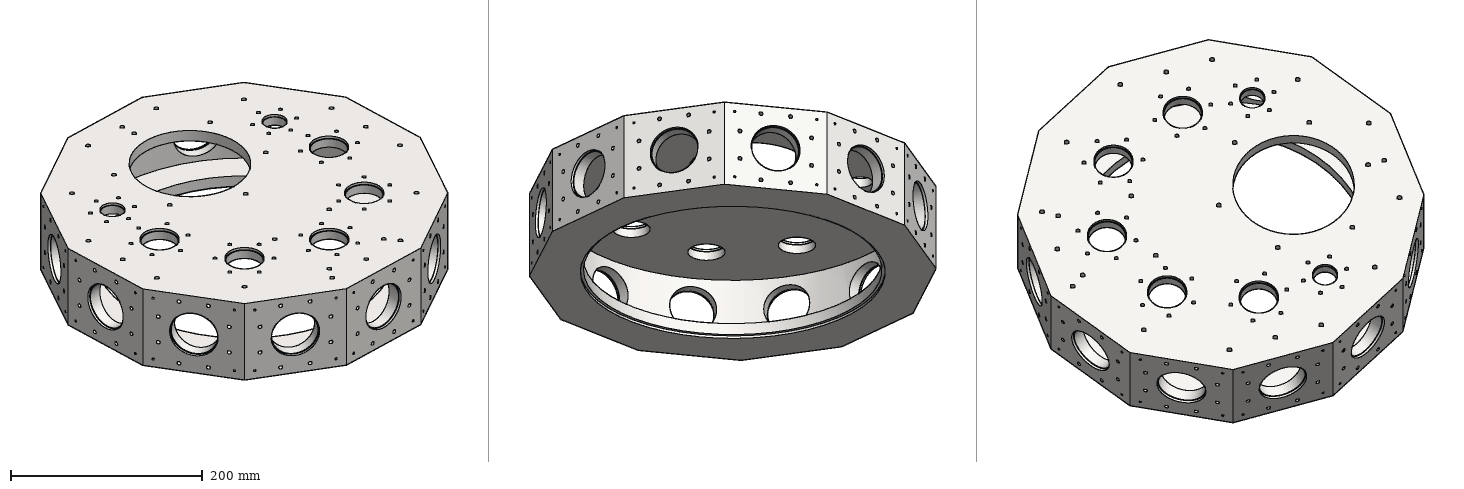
import cadquery as cq
import math

SIDES = 12
ACROSS_FLATS = 410.5
HEIGHT = 95.2
APOTHEM = ACROSS_FLATS / 2
CIRCUMSCRIBED_DIAMETER = ACROSS_FLATS / math.cos(math.pi / SIDES)
CAVITY_DIAMETER = 380.0
TOP_THICKNESS = 13.0
FLOOR_THICKNESS = 15.5
BOTTOM_OPENING_DIAMETER = 311.5
BOTTOM_RECESS_DIAMETER = 318.0

STEP_DEPTH = 3.0

SCREW_DIAMETER = 4.02
LARGE_SCREW_DIAMETER = 5.0
PIN_DIAMETER = 2.25
SCREW_DEPTH = 8.2

SCREWS_PER_RING = 6

WINDOW_DIAMETER = 50.0
WINDOW_STEP_DIAMETER = 52.0
WINDOW_SCREWS = 8
WINDOW_SCREW_RADIUS = 41.5
PIN_OFFSET_ACROSS = 44.0
PIN_OFFSET_UP = 37.8

MAIN_OPENING_DIAMETER = 127.0
MAIN_OPENING_X = -80.0
MAIN_SCREW_RADIUS = 82.0

PORT_DIAMETER = 39.0
PORT_STEP_DIAMETER = 41.0
PORT_RADIUS = 125.2
PORT_ANGLES = (-90, -45, 0, 45, 90)
PORT_SCREW_RADIUS = 30.8
CORNER_SCREW_OFFSET = 40.2

SMALL_PORT_DIAMETER = 25.0
SMALL_PORT_STEP_DIAMETER = 26.3
SMALL_PORT_X = -74.7
SMALL_PORT_Y = 120.0
SMALL_PORT_SCREW_RADIUS = 24.0

EDGE_SCREW_OFFSET = 180.0
EDGE_SCREW_STATIONS = 8
EDGE_SCREW_SPACING = 50.5


def polar(radius, angle, center=(0, 0)):
    """Point at a radius and an angle in degrees about a center."""
    turn = math.radians(angle)
    return (center[0] + radius * math.cos(turn), center[1] + radius * math.sin(turn))


def screw_circle(center, radius, count, first_angle=0):
    """Evenly spaced points around a center."""
    return [polar(radius, first_angle + 360 / count * i, center) for i in range(count)]


def holes(plane, points, diameter, depth):
    """Cylinders sunk from a plane against its normal."""
    return cq.Workplane(plane).pushPoints(points).circle(diameter / 2).extrude(-depth)


def stepped_hole(plane, points, diameter, step_diameter, depth):
    """Hole with a shallow wider step at its mouth."""
    return holes(plane, points, diameter, depth).union(holes(plane, points, step_diameter, STEP_DEPTH))


def body():
    """Dodecagonal shell with flats on X and Y, with a round cavity and an opening in the floor."""
    block = (
        cq.Workplane("XY")
        .polygon(SIDES, CIRCUMSCRIBED_DIAMETER)
        .extrude(HEIGHT)
        .rotate((0, 0, 0), (0, 0, 1), 180 / SIDES)
    )
    cavity = (
        cq.Workplane("XY", origin=(0, 0, FLOOR_THICKNESS))
        .circle(CAVITY_DIAMETER / 2)
        .extrude(HEIGHT - FLOOR_THICKNESS - TOP_THICKNESS)
    )
    opening = cq.Workplane("XY").circle(BOTTOM_OPENING_DIAMETER / 2).extrude(FLOOR_THICKNESS)
    recess = cq.Workplane("XY").circle(BOTTOM_RECESS_DIAMETER / 2).extrude(STEP_DEPTH)
    return block.cut(cavity).cut(opening).cut(recess)


def side_cutters(angle):
    """Window, screw holes and pin holes of the face pointing at an angle."""
    x, y = polar(APOTHEM, angle)
    normal_x, normal_y = polar(1, angle)
    face = cq.Plane(
        origin=(x, y, HEIGHT / 2),
        xDir=(-normal_y, normal_x, 0),
        normal=(normal_x, normal_y, 0),
    )
    reach = APOTHEM - BOTTOM_OPENING_DIAMETER / 2
    screws = screw_circle((0, 0), WINDOW_SCREW_RADIUS, WINDOW_SCREWS, 180 / WINDOW_SCREWS)
    pins = [(i * PIN_OFFSET_ACROSS, j * PIN_OFFSET_UP) for i in (-1, 1) for j in (-1, 1)]
    return (
        stepped_hole(face, [(0, 0)], WINDOW_DIAMETER, WINDOW_STEP_DIAMETER, reach)
        .add(holes(face, screws, SCREW_DIAMETER, SCREW_DEPTH))
        .add(holes(face, pins, PIN_DIAMETER, SCREW_DEPTH))
    )


def top_cutters():
    """Openings and screw holes of the top plate."""
    top = cq.Plane(origin=(0, 0, HEIGHT))
    main_center = (MAIN_OPENING_X, 0)
    ports = [polar(PORT_RADIUS, angle) for angle in PORT_ANGLES]
    small_ports = [(SMALL_PORT_X, side * SMALL_PORT_Y) for side in (-1, 1)]

    port_screws = []
    for angle, center in zip(PORT_ANGLES, ports):
        port_screws += screw_circle(center, PORT_SCREW_RADIUS, SCREWS_PER_RING, angle + 90)
    for center in small_ports:
        port_screws += screw_circle(center, SMALL_PORT_SCREW_RADIUS, SCREWS_PER_RING)

    large_screws = screw_circle(main_center, MAIN_SCREW_RADIUS, SCREWS_PER_RING)
    for i in (-1, 1):
        for j in (-1, 1):
            large_screws.append((PORT_RADIUS + i * CORNER_SCREW_OFFSET, j * CORNER_SCREW_OFFSET))
    large_screws += screw_circle((0, 0), EDGE_SCREW_OFFSET, EDGE_SCREW_STATIONS)
    for side in (-1, 1):
        for shift in (-EDGE_SCREW_SPACING, EDGE_SCREW_SPACING):
            large_screws.append((side * EDGE_SCREW_OFFSET, shift))
            large_screws.append((shift, side * EDGE_SCREW_OFFSET))

    return (
        holes(top, [main_center], MAIN_OPENING_DIAMETER, TOP_THICKNESS)
        .add(stepped_hole(top, ports, PORT_DIAMETER, PORT_STEP_DIAMETER, TOP_THICKNESS))
        .add(stepped_hole(top, small_ports, SMALL_PORT_DIAMETER, SMALL_PORT_STEP_DIAMETER, TOP_THICKNESS))
        .add(holes(top, port_screws, SCREW_DIAMETER, SCREW_DEPTH))
        .add(holes(top, large_screws, LARGE_SCREW_DIAMETER, SCREW_DEPTH))
    )


cutters = top_cutters()
for face_index in range(SIDES):
    cutters.add(side_cutters(360 / SIDES * face_index))

result = cq.Workplane(body().val().cut(*cutters.solids().vals()))